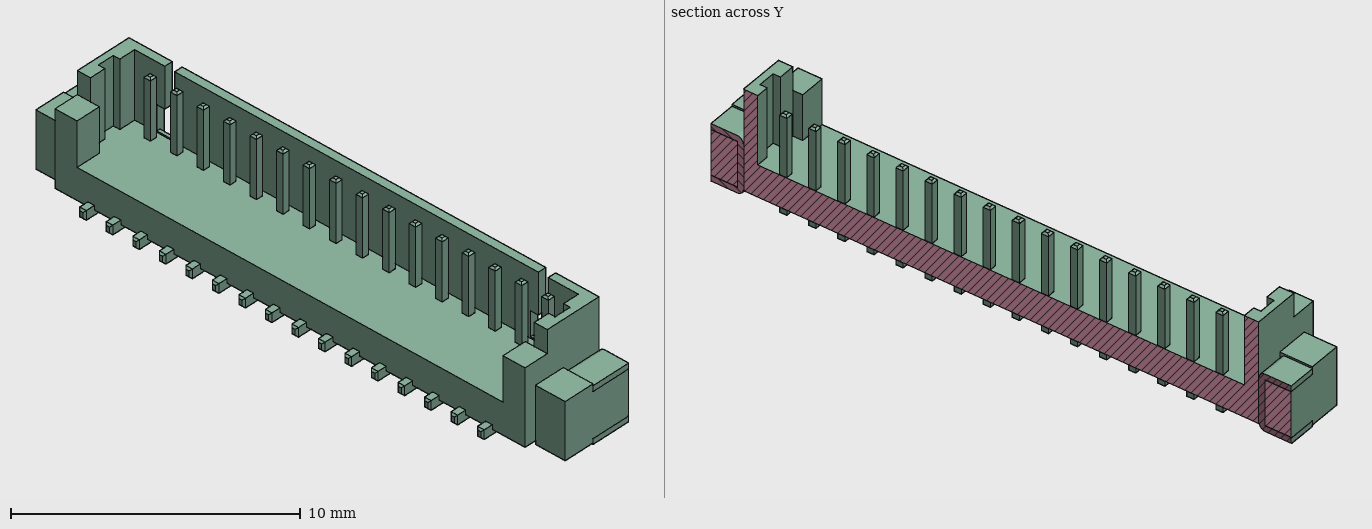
import cadquery as cq

overall_length = 24.95
body_length = 22.15
body_front = -3.75
body_bottom = 0.22
body_top = 4.66
floor_top = 1.64

back_wall = 0.38
end_wall = 0.62
end_wall_front = -2.62
post_width = 1.04
post_top = 3.63
pocket_depth = 0.31
pocket_back = -1.13
pocket_front = -1.89

slot_center = 8.80
slot_width = 0.46
window_width = 1.22
window_top = 2.82
window_sill = 1.70
recess_depth = 0.22

pin_count = 16
pitch = 1.25
pin_width = 0.31
pin_back = -0.60
pin_top = 4.30
pin_tip = 0.08
tail_front = -4.24
tail_height = 0.42

ear_front = -3.22
ear_bottom = 0.06
ear_top = 2.60
clip_length = 1.81
clip_thickness = 0.25
clip_top = 2.52
clip_bend = 0.28

half_length = overall_length / 2
half_body = body_length / 2
cavity_half = half_body - end_wall
post_inner = half_body - post_width


def box(x0, x1, y0, y1, z0, z1):
    """Axis-aligned block between two opposite corners."""
    return (
        cq.Workplane("XY")
        .box(abs(x1 - x0), abs(y1 - y0), abs(z1 - z0))
        .translate(((x0 + x1) / 2, (y0 + y1) / 2, (z0 + z1) / 2))
    )


def make_shroud():
    """Open-fronted tray with stepped end walls and front corner posts."""
    shroud = box(-half_body, half_body, body_front, 0, body_bottom, body_top)
    cavity = box(-cavity_half, cavity_half, end_wall_front, -back_wall, floor_top, body_top)
    front_opening = box(-post_inner, post_inner, body_front, end_wall_front, floor_top, body_top)
    post_step = box(-half_body, half_body, body_front, end_wall_front, post_top, body_top)
    pocket_half = cavity_half + pocket_depth
    end_pockets = box(-pocket_half, pocket_half, pocket_front, pocket_back, floor_top, body_top)
    return shroud.cut(cavity).cut(front_opening).cut(post_step).cut(end_pockets)


def make_latch_slot(x):
    """Narrow slot over a wider window, with a shallow recess below the sill."""
    slot = box(x - slot_width / 2, x + slot_width / 2, -back_wall, 0, window_sill, body_top)
    left = x - window_width / 2
    right = x + window_width / 2
    window = box(left, right, -back_wall, 0, window_sill, window_top)
    recess = box(left, right, -recess_depth, 0, body_bottom, window_sill)
    return slot.union(window).union(recess)


def make_contact(x):
    """Upright pin and the solder tail leaving under the front of the tray."""
    left = x - pin_width / 2
    right = x + pin_width / 2
    pin = box(left, right, pin_back - pin_width, pin_back, body_bottom, pin_top)
    pin = pin.faces(">Z").chamfer(pin_tip)
    tail = box(left, right, tail_front, pin_back, 0, tail_height)
    tail = tail.faces("<Y").chamfer(pin_tip)
    return pin.union(tail)


def make_clip_block(inset):
    """Block filling the right-hand clip, drawn in from its inner side, top and bottom."""
    return box(half_body + inset, half_length, -clip_length, 0, inset, clip_top - inset)


def make_clip():
    """Right-hand C-shaped clip, open towards the outside of the ear."""
    outer = make_clip_block(0).edges("<X and |Y").fillet(clip_bend)
    return outer.cut(make_clip_block(clip_thickness))


def make_ear():
    """Right-hand ear: full block in front and a core inside the clip behind."""
    block = box(half_body, half_length, ear_front, -clip_length, ear_bottom, ear_top)
    return block.union(make_clip_block(clip_thickness))


housing = make_shroud()
for side in (-1, 1):
    housing = housing.cut(make_latch_slot(side * slot_center))
ear = make_ear()
housing = housing.union(ear).union(ear.mirror("YZ"))
first_pin = -pitch * (pin_count - 1) / 2
for index in range(pin_count):
    housing = housing.union(make_contact(first_pin + index * pitch))

right_clip = make_clip()
left_clip = right_clip.mirror("YZ")

result = cq.Compound.makeCompound([housing.val(), right_clip.val(), left_clip.val()])